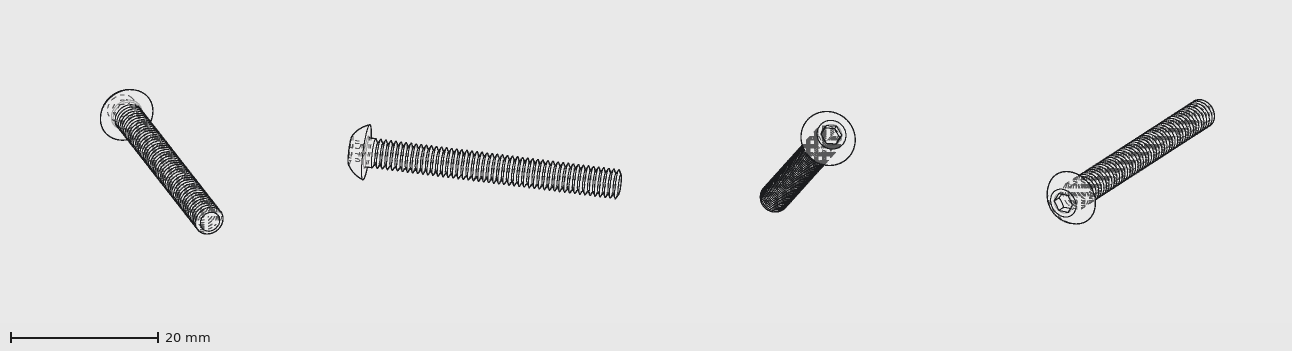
import cadquery as cq
import math

overall_length = 37.2

head_diameter = 7.6
head_height = 2.2
crown_flat_diameter = 4.0
underhead_fillet = 0.2

shank_diameter = 4.0
shank_end = 3.25
crest_count = 48
flank_half_angle = math.radians(30)

socket_sides = 6
socket_across_flats = 2.5
socket_wall_depth = 1.3
drill_point_angle = math.radians(120)
mouth_countersink_angle = math.radians(150)

head_radius = head_diameter / 2
crown_flat_radius = crown_flat_diameter / 2
shank_radius = shank_diameter / 2

pitch = (overall_length - shank_end) / (crest_count + 0.5)
flank_length = pitch / 2
thread_depth = flank_length / math.tan(flank_half_angle)
root_radius = shank_radius - thread_depth

socket_corner_radius = socket_across_flats / 2 / math.cos(math.pi / socket_sides)
drill_point_depth = socket_corner_radius / math.tan(drill_point_angle / 2)
mouth_cone_depth = socket_corner_radius / math.tan(mouth_countersink_angle / 2)


def revolve_about_screw_axis(profile):
    """Turn a closed XY profile fully around the X axis."""
    return profile.revolve(360, (0, 0, 0), (1, 0, 0))


def dome_radius_at(x):
    """Radius of the head at x, on a sphere centred on the screw axis."""
    centre_x = (head_height**2 + head_radius**2 - crown_flat_radius**2) / (2 * head_height)
    sphere_radius = math.hypot(centre_x, crown_flat_radius)
    return math.sqrt(sphere_radius**2 - (x - centre_x) ** 2)


def make_screw_body():
    """Head, shank and a thread made of separate rings."""
    dome_middle = head_height / 2
    profile = (
        cq.Workplane("XY")
        .lineTo(0, crown_flat_radius)
        .threePointArc((dome_middle, dome_radius_at(dome_middle)), (head_height, head_radius))
        .lineTo(head_height, shank_radius + underhead_fillet)
        .radiusArc((head_height + underhead_fillet, shank_radius), -underhead_fillet)
        .lineTo(shank_end, shank_radius)
        .lineTo(shank_end + flank_length, root_radius)
    )
    for crest_number in range(1, crest_count + 1):
        crest_x = shank_end + crest_number * pitch
        profile = profile.lineTo(crest_x, shank_radius).lineTo(crest_x + flank_length, root_radius)
    return revolve_about_screw_axis(profile.lineTo(overall_length, 0).close())


def make_socket():
    """Hexagon with corners at +Y and -Y, a cone at its bottom and a shallow cone at its mouth."""
    socket_depth = socket_wall_depth + drill_point_depth
    hexagon = cq.Workplane("YZ").polygon(socket_sides, 2 * socket_corner_radius).extrude(socket_depth)
    drilled_hole = revolve_about_screw_axis(
        cq.Workplane("XY")
        .lineTo(0, socket_corner_radius)
        .lineTo(socket_wall_depth, socket_corner_radius)
        .lineTo(socket_depth, 0)
        .close()
    )
    mouth_countersink = revolve_about_screw_axis(
        cq.Workplane("XY")
        .lineTo(0, socket_corner_radius)
        .lineTo(mouth_cone_depth, 0)
        .close()
    )
    return hexagon.intersect(drilled_hole).union(mouth_countersink)


result = make_screw_body().cut(make_socket())